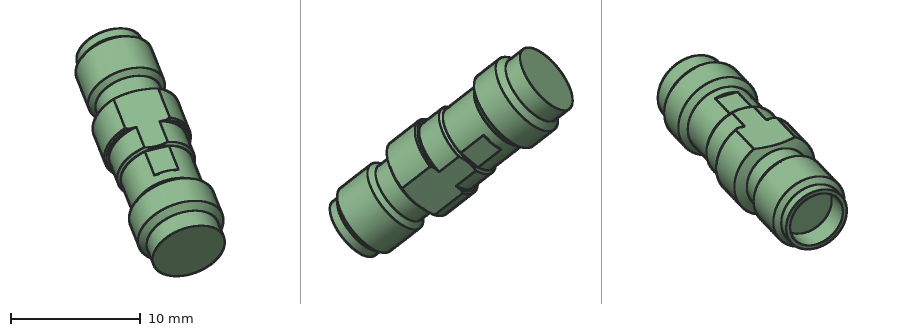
import cadquery as cq

total_length = 20.75

neck_radius = 2.65
left_collar_radius = 3.11
left_collar_start = 0.8
left_collar_end = 4.94
left_collar_chamfer_length = 0.44

wrench_radius = 3.5
wrench_start = 6.5
wrench_end = 10.13
wrench_lead_length = 0.45
wrench_edge_chamfer = 0.15
shoulder_radius = 3.15
shoulder_end = 12.45
body_radius = 2.93
shoulder_chamfer = 0.2

right_collar_radius = 3.47
right_collar_start = 15.77
right_collar_end = 19.2
right_collar_chamfer_length = 0.54

wrench_flat_height = 3.0
body_flat_height = 2.75
body_flat_end = 14.92

bore_radius = 2.3
bore_depth = 1.85


def turned_blank():
    """Revolve the stepped outer profile, drawn as (X, radius), about the X axis."""
    profile = [
        (0, 0),
        (0, neck_radius),
        (left_collar_start, neck_radius),
        (left_collar_start + left_collar_chamfer_length, left_collar_radius),
        (left_collar_end - left_collar_chamfer_length, left_collar_radius),
        (left_collar_end, neck_radius),
        (wrench_start, neck_radius),
        (wrench_start + wrench_lead_length, wrench_radius),
        (wrench_end - wrench_edge_chamfer, wrench_radius),
        (wrench_end, wrench_radius - wrench_edge_chamfer),
        (wrench_end, shoulder_radius),
        (shoulder_end - shoulder_chamfer, shoulder_radius),
        (shoulder_end, shoulder_radius - shoulder_chamfer),
        (shoulder_end, body_radius),
        (right_collar_start, body_radius),
        (right_collar_start + right_collar_chamfer_length, right_collar_radius),
        (right_collar_end - right_collar_chamfer_length, right_collar_radius),
        (right_collar_end, body_radius),
        (total_length, body_radius),
        (total_length, 0),
    ]
    return cq.Workplane("XY").polyline(profile).close().revolve(360, (0, 0, 0), (1, 0, 0))


def flat_cutters(start, end, flat_height):
    """Blocks above and below the axis that leave a pair of flats between two X positions."""
    block_width = 2 * wrench_radius
    upper = cq.Workplane("XY").box(
        end - start, block_width, wrench_radius, centered=(False, True, False)
    ).translate((start, 0, flat_height))
    return upper.union(upper.mirror("XY"))


bore = cq.Workplane("YZ").circle(bore_radius).extrude(bore_depth)

result = (
    turned_blank()
    .cut(flat_cutters(wrench_start, shoulder_end, wrench_flat_height))
    .cut(flat_cutters(shoulder_end, body_flat_end, body_flat_height))
    .cut(bore)
)